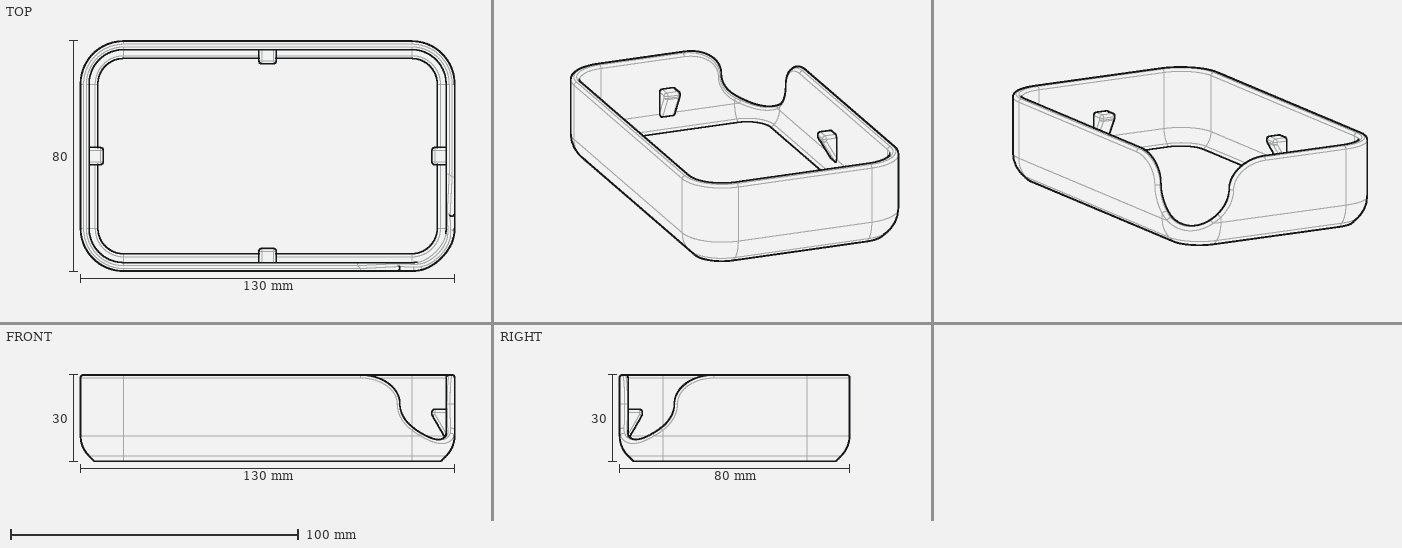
import cadquery as cq
import math

LENGTH = 130.0
WIDTH = 80.0
HEIGHT = 30.0
WALL = 3.0
CORNER_RADIUS = 15.0
RIM_RADIUS = 1.0

BLEND_RADIUS = 10.0
BLEND_TOP = 9.0
BEVEL_ANGLE = 45.0

NOTCH_RADIUS = 12.5
FLARE_RADIUS = 10.0
NOTCH_DEPTH = 31.2
NOTCH_LENGTH = 52.0

PEG_WIDTH = 6.0
PEG_REACH = 5.0
PEG_TOP = 18.1
PEG_TIP_HEIGHT = 2.0
PEG_SLOPE_ANGLE = 60.0
PEG_ROUND = 1.0
PEG_EMBED = 1.5


def rounded_slab(inset, bottom, height, taper=0.0):
    """Slab with the tray outline moved inward by inset; a negative taper widens it upward."""
    return (
        cq.Workplane("XY", origin=(0, 0, bottom))
        .sketch()
        .rect(LENGTH - 2 * inset, WIDTH - 2 * inset)
        .vertices()
        .fillet(CORNER_RADIUS - inset)
        .finalize()
        .extrude(height, taper=taper)
    )


def basin(inset, bottom):
    """Solid basin up to the rim, with its lower edge rounded and then bevelled down to the bottom."""
    bevel = math.radians(BEVEL_ANGLE)
    radius = BLEND_RADIUS - inset
    round_bottom = BLEND_TOP - radius
    bevel_top = BLEND_TOP - radius * math.sin(bevel)
    bevel_height = bevel_top - bottom
    bottom_inset = inset + radius * (1 - math.cos(bevel)) + bevel_height / math.tan(bevel)

    rounded = rounded_slab(inset, round_bottom, HEIGHT - round_bottom)
    rounded = rounded.faces("<Z").edges().fillet(radius)
    below_bevel_top = rounded_slab(0, round_bottom, bevel_top - round_bottom)
    bevelled_foot = rounded_slab(bottom_inset, bottom, bevel_height, taper=BEVEL_ANGLE - 90)
    return rounded.cut(below_bevel_top).union(bevelled_foot)


def corner_notch():
    """Cutter running out diagonally through the corner, its flares tangent to the rim."""
    outward = cq.Vector(1, -1, 0).normalized()
    corner = cq.Vector(LENGTH / 2, -WIDTH / 2, 0)
    plane = cq.Plane(origin=corner - outward * NOTCH_DEPTH, xDir=(1, 1, 0), normal=outward)

    arc_center_z = HEIGHT - FLARE_RADIUS
    half_opening = NOTCH_RADIUS + FLARE_RADIUS
    flare_step = FLARE_RADIUS * math.sqrt(0.5)
    flare_mid_x = half_opening - flare_step
    flare_mid_z = arc_center_z + flare_step
    return (
        cq.Workplane(plane)
        .moveTo(-half_opening, HEIGHT)
        .threePointArc((-flare_mid_x, flare_mid_z), (-NOTCH_RADIUS, arc_center_z))
        .threePointArc((0, arc_center_z - NOTCH_RADIUS), (NOTCH_RADIUS, arc_center_z))
        .threePointArc((flare_mid_x, flare_mid_z), (half_opening, HEIGHT))
        .close()
        .extrude(NOTCH_LENGTH)
    )


def peg(wall_distance, angle):
    """Wedge peg on a wall at wall_distance from the centre, turned about Z from +X by angle."""
    tip = wall_distance - PEG_REACH
    back = wall_distance + PEG_EMBED
    tip_bottom = PEG_TOP - PEG_TIP_HEIGHT
    back_bottom = tip_bottom - (back - tip) * math.tan(math.radians(PEG_SLOPE_ANGLE))
    return (
        cq.Workplane("XZ")
        .polyline([(back, PEG_TOP), (tip, PEG_TOP), (tip, tip_bottom), (back, back_bottom)])
        .close()
        .extrude(PEG_WIDTH / 2, both=True)
        .edges("not(>X)")
        .fillet(PEG_ROUND)
        .rotate((0, 0, 0), (0, 0, 1), angle)
    )


tray = basin(inset=0, bottom=0).cut(basin(inset=WALL, bottom=WALL))
tray = tray.cut(corner_notch())
tray = tray.faces(">Z").edges().fillet(RIM_RADIUS)

end_wall = LENGTH / 2 - WALL
side_wall = WIDTH / 2 - WALL
for wall_distance, angle in ((end_wall, 0), (side_wall, 90), (end_wall, 180), (side_wall, 270)):
    tray = tray.union(peg(wall_distance, angle))

result = tray